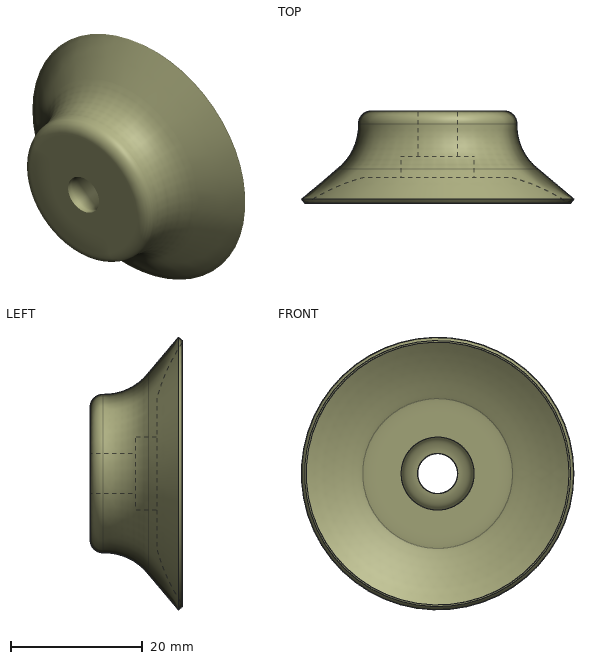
import cadquery as cq

rim_radius = 20.65
height = 14.0
rim_edge_height = 0.6
rim_face_radius = 20.15
mouth_radius = 19.9

skirt_top_radius = 15.22
skirt_top_height = 5.15
waist_mid_radius = 12.87
waist_mid_height = 8.05
neck_radius = 12.0
neck_height = 12.0
neck_round = height - neck_height

floor_radius = 11.35
floor_depth = 3.88
cavity_mid_radius = 15.25
cavity_mid_depth = 2.5
counterbore_radius = 5.53
counterbore_depth = 3.2
hole_radius = 3.0


def cup_body():
    """Revolve the solid wall with its flared cavity; the floor is closed."""
    profile = (
        cq.Workplane("XY")
        .moveTo(0, floor_depth)
        .lineTo(floor_radius, floor_depth)
        .threePointArc((cavity_mid_radius, cavity_mid_depth), (mouth_radius, 0))
        .lineTo(rim_face_radius, 0)
        .lineTo(rim_radius, rim_edge_height)
        .lineTo(skirt_top_radius, skirt_top_height)
        .threePointArc((waist_mid_radius, waist_mid_height), (neck_radius, neck_height))
        .radiusArc((neck_radius - neck_round, height), -neck_round)
        .lineTo(0, height)
        .close()
    )
    return profile.revolve(360, (0, 0, 0), (0, 1, 0))


def bore(radius, start, end):
    """Cylinder along Y between two heights."""
    return cq.Workplane("XZ", origin=(0, start, 0)).circle(radius).extrude(start - end)


counterbore = bore(counterbore_radius, 0, floor_depth + counterbore_depth)
through_hole = bore(hole_radius, 0, height)

result = cup_body().cut(counterbore).cut(through_hole)